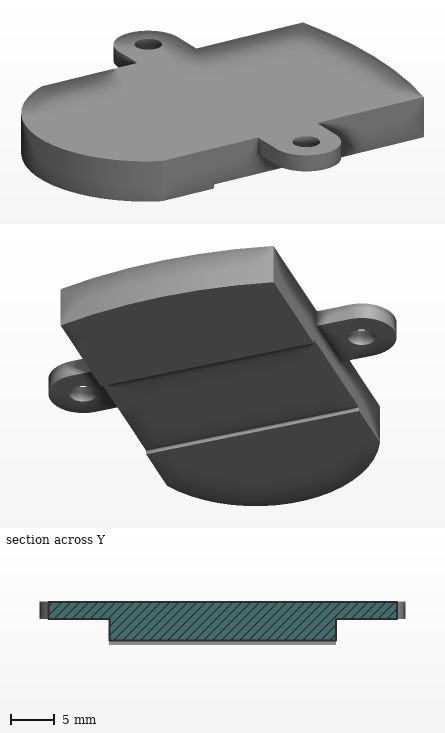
import cadquery as cq
import math

plate_width = 26.0
plate_thickness = 5.0
rear_reach = 20.0
rear_radius = 55.0
front_reach = 25.32
front_corner_y = -17.0

ear_thickness = 2.0
ear_radius = 4.0
hole_spacing = 34.0
hole_diameter = 3.2

channel_depth = 0.5
channel_front_y = -10.0
channel_rear_y = 5.0

half_width = plate_width / 2
rear_sag = rear_radius - math.sqrt(rear_radius**2 - half_width**2)
rear_corner_y = rear_reach - rear_sag


def make_plate():
    return (
        cq.Workplane("XY")
        .moveTo(-half_width, front_corner_y)
        .threePointArc((0, -front_reach), (half_width, front_corner_y))
        .lineTo(half_width, rear_corner_y)
        .threePointArc((0, rear_reach), (-half_width, rear_corner_y))
        .close()
        .extrude(plate_thickness)
    )


def make_ears():
    """One slot-shaped bar whose rounded ends form both ears."""
    return (
        cq.Workplane("XY")
        .workplane(offset=plate_thickness - ear_thickness)
        .slot2D(hole_spacing + 2 * ear_radius, 2 * ear_radius)
        .extrude(ear_thickness)
    )


def make_ear_holes():
    return (
        cq.Workplane("XY")
        .pushPoints([(-hole_spacing / 2, 0), (hole_spacing / 2, 0)])
        .circle(hole_diameter / 2)
        .extrude(plate_thickness)
    )


def make_channel():
    channel_length = channel_rear_y - channel_front_y
    channel_center_y = (channel_rear_y + channel_front_y) / 2
    return (
        cq.Workplane("XY")
        .center(0, channel_center_y)
        .rect(plate_width, channel_length)
        .extrude(channel_depth)
    )


result = make_plate().union(make_ears()).cut(make_ear_holes()).cut(make_channel())